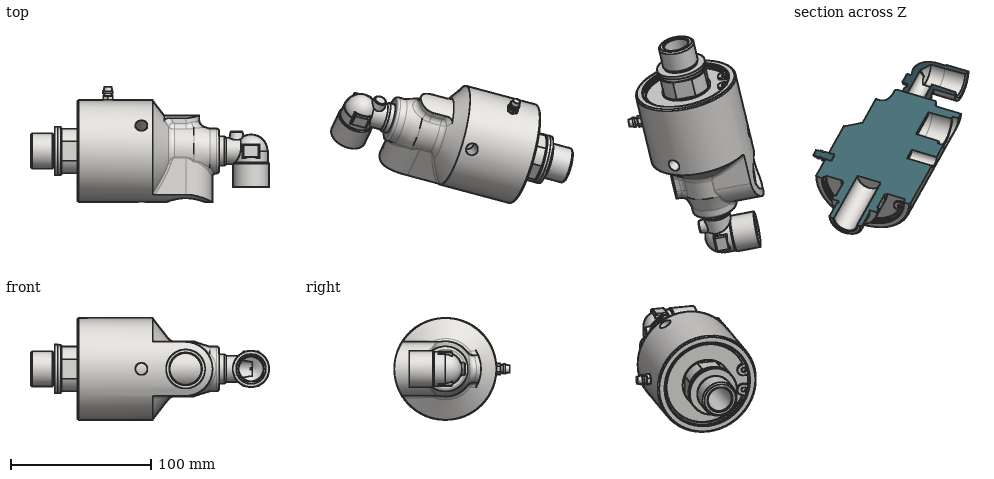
import cadquery as cq
import math


overall_length = 170.02
overall_width = 82.41

thread_radius = 25.4 / 2
thread_chamfer = 1.2
thread_end = 15.2
relief_radius = 11.9
collar_start = 17.0
collar_step = 19.1
collar_end = 21.3
journal_radius = 34.9 / 2
flats_round_radius = 34.8 / 2
collar_groove_radius = 16.4
flats_start = 22.0
flats_end = 35.5
flats_half_width = 16.0
shaft_bore_radius = 17.5 / 2
shaft_bore_mouth_radius = 19 / 2
shaft_bore_depth = 45.0

body_radius = 73 / 2
body_start = 33.3
body_end = 86.8
body_chamfer = 1.0
shoulder_radius = 36.2
neck_radius = 19.7
neck_start = 99.6
neck_blend_radius = 5.5
neck_end = 116.1
spigot_start = 127.5
spigot_end = 134.3
spigot_radius = 16.1
spigot_fillet = 1.9

recess_radius = 62.05 / 2
recess_mouth_radius = recess_radius + 0.8
recess_mouth_depth = 0.8
ring_face = 35.1
ring_thickness = 1.5
recess_floor = ring_face + ring_thickness
ring_inner_radius = 59 / 2
ring_gap_half_width = 3.3
ring_lug_radius = 4.2
ring_lug_y = -27.2
ring_lug_z = ring_gap_half_width + ring_lug_radius
ring_hole_radius = 3.5 / 2
ring_hole_y = -27.7

port_x = 110.4
port_block_radius = 19.2
port_block_blend = 2.2
blend_overrun = 8.0
port_face_radius = 27.8 / 2
port_face_y = -32.0
port_mouth_radius = 23.5 / 2
port_root_radius = 22.63 / 2
port_taper_end_y = -17.0
port_core_radius = 14.5

boss_radius = 9.8
boss_end_radius = 25.4
boss_start = body_end + 5.0
boss_blend = 5.0
boss_foot_low = 16.5
boss_foot_high = 19.0

weep_x = 78.9
weep_radius = 8.6 / 2
weep_count = 3

nipple_x = 55.0
nipple_stub_radius = 6 / 2
nipple_stub_end = 32.0
nipple_seat = body_radius
nipple_hex_flats = 7.0
nipple_hex_top = 39.1
nipple_shoulder_y = 39.5
nipple_shoulder_radius = 3.2
nipple_neck_radius = 5.36 / 2
nipple_head_radius = 3.55
nipple_head_start = 41.2
nipple_head_end = 42.7
nipple_barrel_radius = 3.2
nipple_tip_radius = 5.36 / 2
nipple_tip_y = 45.5
nipple_tip_chamfer = 0.2
nipple_top = overall_width - body_radius

socket_radius = 26 / 2
elbow_x = overall_length - socket_radius
elbow_collar_radius = 10.6
elbow_collar_end = 137.8
elbow_stem_start = 139.4
elbow_stem_radius = 19 / 2
elbow_bend_radius = 11.9
elbow_body_radius = 12.2
socket_start_y = -8.9
socket_cone_y = -7.9
socket_end_y = -25.8
socket_mouth_radius = 21.3 / 2
socket_mouth_depth = 1.2
socket_bore_mouth_radius = 18.6 / 2
socket_bore_radius = 17.48 / 2
socket_bore_end_y = 1.5
drill_point_angle = 59.0
stem_bore_radius = 12.7 / 2
stem_bore_end = elbow_x + 1.0
pad_length = 12.2
pad_width = 10.0
pad_height = 12.5
pad_edge = 1.0
lug_x = 146.7
lug_base_radius = 5.3
lug_base_y = 8.5
lug_top_radius = 4.4
lug_top_y = 14.1
lug_chamfer = 0.6


def turned(points):
    """Solid of revolution about X from (x, radius) points; open ends are closed to the axis."""
    outline = [(points[0][0], 0)] + points + [(points[-1][0], 0)]
    return cq.Workplane("XY").polyline(outline).close().revolve(360, (0, 0, 0), (1, 0, 0))


def turned_about_y(x, points):
    """Solid of revolution about the line parallel to Y at the given x, from (radius, y) points."""
    outline = [(0, points[0][1])] + points
    if points[-1][0] > 0:
        outline.append((0, points[-1][1]))
    profile = cq.Workplane("XY", origin=(x, 0, 0)).polyline(outline).close()
    return profile.revolve(360, (0, 0, 0), (0, 1, 0))


def x_cylinder(start, end, radius, y=0, z=0):
    return cq.Workplane("YZ", origin=(start, y, z)).circle(radius).extrude(end - start)


def box_between(low, high):
    size = [b - a for a, b in zip(low, high)]
    return cq.Workplane("XY").box(*size, centered=False).translate(low)


def stadium_prism(start_x, centre_x, radius, start_y, end_y):
    """Prism along Y: a rectangle from start_x that ends in a half circle about centre_x."""
    profile = (
        cq.Workplane("XZ", origin=(0, start_y, 0))
        .moveTo(start_x, radius)
        .lineTo(centre_x, radius)
        .threePointArc((centre_x + radius, 0), (centre_x, -radius))
        .lineTo(start_x, -radius)
        .close()
    )
    return profile.extrude(start_y - end_y)


def make_shaft_end():
    body = turned([
        (0, thread_radius - thread_chamfer),
        (thread_chamfer, thread_radius),
        (thread_end, thread_radius),
        (thread_end + thread_radius - relief_radius, relief_radius),
        (collar_start, relief_radius),
        (collar_start, journal_radius),
        (collar_step, journal_radius),
        (collar_step, flats_round_radius),
        (collar_end, flats_round_radius),
        (collar_end, collar_groove_radius),
        (flats_start, collar_groove_radius),
        (flats_start, flats_round_radius),
        (flats_end, flats_round_radius),
        (flats_end, journal_radius),
        (recess_floor, journal_radius),
    ])
    outside = x_cylinder(flats_start, flats_end, 2 * journal_radius)
    bar = box_between(
        (flats_start, -flats_half_width, -flats_half_width),
        (flats_end, flats_half_width, flats_half_width),
    )
    return body.cut(outside.cut(bar))


def edges_in_box(shape, low, high):
    """Edges of the shape whose middles lie inside the given box."""
    return shape.edges(cq.selectors.BoxSelector(low, high))


def make_housing_shell():
    """Outside of the housing: drum, cone and neck, with the port block and the boss blended in."""
    slope = math.atan2(shoulder_radius - neck_radius, neck_start - body_end)
    tangent = neck_blend_radius * math.tan(slope / 2)
    blend_start = (neck_start - tangent * math.cos(slope), neck_radius + tangent * math.sin(slope))
    blend_end = (neck_start + tangent, neck_radius)
    blend_mid = (
        blend_end[0] - neck_blend_radius * math.sin(slope / 2),
        neck_radius + neck_blend_radius * (1 - math.cos(slope / 2)),
    )
    drum = (
        cq.Workplane("YZ", origin=(body_start, 0, 0))
        .circle(body_radius)
        .extrude(body_end - body_start)
        .faces("<X")
        .chamfer(body_chamfer)
    )
    wide_radius = shoulder_radius + blend_overrun
    wide_start = body_end - blend_overrun / math.tan(slope)
    neck = (
        cq.Workplane("XY")
        .moveTo(wide_start, 0)
        .lineTo(wide_start, wide_radius)
        .lineTo(*blend_start)
        .threePointArc(blend_mid, blend_end)
        .lineTo(neck_end, neck_radius)
        .lineTo(spigot_start, spigot_radius)
        .lineTo(spigot_end - spigot_fillet, spigot_radius)
        .radiusArc((spigot_end, spigot_radius - spigot_fillet), spigot_fillet)
        .lineTo(spigot_end, 0)
        .close()
        .revolve(360, (0, 0, 0), (1, 0, 0))
    )
    block = stadium_prism(wide_start, port_x, port_block_radius, 0, -wide_radius)
    neck = neck.union(block)
    seam = edges_in_box(neck, (port_x + 1, -neck_radius, -neck_radius), (spigot_end, -1, neck_radius))
    neck = seam.fillet(port_block_blend)
    neck = neck.intersect(x_cylinder(body_end, spigot_end, body_radius))
    boss = stadium_prism(boss_start, port_x, boss_radius, boss_end_radius, 0)
    boss = boss.intersect(x_cylinder(body_start, spigot_end, boss_end_radius))
    neck = neck.union(boss)
    foot = edges_in_box(
        neck,
        (body_end, boss_foot_low, -boss_radius - 1),
        (spigot_start, boss_foot_high, boss_radius + 1),
    )
    neck = foot.fillet(boss_blend)
    return neck.union(drum)


def ring_plate():
    """Retaining ring: open at -Y, with a lug and an eye on each side of its gap."""
    ring = x_cylinder(ring_face, recess_floor, recess_radius)
    ring = ring.cut(x_cylinder(ring_face, recess_floor, ring_inner_radius))
    for side in (1, -1):
        ring = ring.union(x_cylinder(ring_face, recess_floor, ring_lug_radius, ring_lug_y, side * ring_lug_z))
    ring = ring.intersect(x_cylinder(ring_face, recess_floor, recess_radius))
    ring = ring.cut(box_between(
        (ring_face, -body_radius, -ring_gap_half_width),
        (recess_floor, 0, ring_gap_half_width),
    ))
    for side in (1, -1):
        ring = ring.cut(x_cylinder(ring_face, recess_floor, ring_hole_radius, ring_hole_y, side * ring_lug_z))
    return ring


def make_nipple():
    """Grease nipple along +Y: a stub in the housing, a hexagon seated on it and a turned head."""
    corner_diameter = nipple_hex_flats / math.cos(math.pi / 6)
    hexagon = (
        cq.Workplane("XZ", origin=(nipple_x, nipple_hex_top, 0))
        .transformed(rotate=(0, 0, 90))
        .polygon(6, corner_diameter)
        .extrude(nipple_hex_top - nipple_seat)
    )
    head = (
        cq.Workplane("XY", origin=(nipple_x, 0, 0))
        .moveTo(0, nipple_stub_end)
        .lineTo(nipple_stub_radius, nipple_stub_end)
        .lineTo(nipple_stub_radius, nipple_hex_top)
        .lineTo(nipple_hex_flats / 2, nipple_hex_top)
        .lineTo(nipple_shoulder_radius, nipple_shoulder_y)
        .threePointArc(
            (nipple_neck_radius, (nipple_shoulder_y + nipple_head_start) / 2),
            (nipple_shoulder_radius, nipple_head_start),
        )
        .lineTo(nipple_head_radius, nipple_head_start)
        .lineTo(nipple_head_radius, nipple_head_end)
        .lineTo(nipple_barrel_radius, nipple_head_end)
        .lineTo(nipple_tip_radius, nipple_tip_y)
        .lineTo(nipple_tip_radius - nipple_tip_chamfer, nipple_top)
        .lineTo(0, nipple_top)
        .close()
        .revolve(360, (0, 0, 0), (0, 1, 0))
    )
    return hexagon.union(head)


def make_union_body():
    housing = make_housing_shell()
    housing = housing.cut(turned([
        (body_start, recess_mouth_radius),
        (body_start + recess_mouth_depth, recess_radius),
        (recess_floor, recess_radius),
    ]))
    housing = housing.union(ring_plate())
    housing = housing.union(make_shaft_end())
    bore_chamfer = shaft_bore_mouth_radius - shaft_bore_radius
    housing = housing.cut(turned([
        (0, shaft_bore_mouth_radius),
        (bore_chamfer, shaft_bore_radius),
        (shaft_bore_depth, shaft_bore_radius),
    ]))
    port = turned_about_y(port_x, [
        (port_face_radius, -body_radius),
        (port_face_radius, port_face_y),
        (port_mouth_radius, port_face_y),
        (port_root_radius, port_taper_end_y),
        (port_root_radius, 0),
    ])
    housing = housing.cut(port.cut(x_cylinder(body_end, spigot_end, port_core_radius)))
    for index in range(weep_count):
        hole = cq.Workplane("XZ", origin=(weep_x, 0, 0)).circle(weep_radius).extrude(2 * body_radius)
        hole = hole.cut(x_cylinder(body_start, spigot_end, journal_radius))
        housing = housing.cut(hole.rotate((0, 0, 0), (1, 0, 0), index * 360 / weep_count))
    nipple_hole = turned_about_y(nipple_x, [
        (nipple_stub_radius, nipple_stub_end),
        (nipple_stub_radius, nipple_seat),
    ])
    return housing.cut(nipple_hole)


def make_elbow():
    elbow = turned([
        (spigot_end, elbow_collar_radius),
        (elbow_collar_end, elbow_collar_radius),
        (elbow_stem_start, elbow_stem_radius),
        (elbow_x, elbow_stem_radius),
    ])
    elbow = elbow.union(cq.Workplane("XY").sphere(elbow_bend_radius).translate((elbow_x, 0, 0)))
    elbow = elbow.union(turned_about_y(elbow_x, [
        (socket_radius, socket_end_y),
        (socket_radius, socket_start_y),
        (elbow_body_radius, socket_cone_y),
        (elbow_body_radius, 0),
    ]))
    pads = cq.Workplane("XY").box(pad_length, pad_width, 2 * pad_height)
    pads = pads.faces("|Z").edges().chamfer(pad_edge)
    elbow = elbow.union(pads.translate((elbow_x, 0, 0)))
    elbow = elbow.union(turned_about_y(lug_x, [
        (lug_base_radius, 0),
        (lug_base_radius, lug_base_y),
        (lug_top_radius, lug_top_y - lug_chamfer),
        (lug_top_radius - lug_chamfer, lug_top_y),
    ]))
    drill_depth = socket_bore_radius / math.tan(math.radians(drill_point_angle))
    elbow = elbow.cut(turned_about_y(elbow_x, [
        (socket_mouth_radius, socket_end_y),
        (socket_bore_mouth_radius, socket_end_y + socket_mouth_depth),
        (socket_bore_radius, socket_start_y),
        (socket_bore_radius, socket_bore_end_y),
        (0, socket_bore_end_y + drill_depth),
    ]))
    return elbow.cut(x_cylinder(spigot_end, stem_bore_end, stem_bore_radius))


union_body = make_union_body()
nipple = make_nipple()
elbow = make_elbow()
result = cq.Compound.makeCompound([union_body.val(), nipple.val(), elbow.val()])